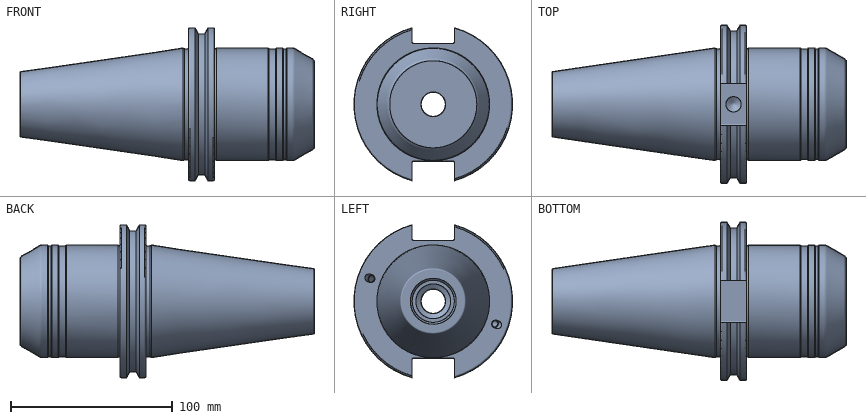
import cadquery as cq
import math

total_length = 182.6
taper_end_x = 101.0
neck_start_x = 102.0
flange_start_x = 104.5
flange_end_x = 120.7
flange_middle_x = (flange_start_x + flange_end_x) / 2
nose_start_x = 170.5

body_diameter = 70.0
neck_diameter = 68.8
relief_diameter = 69.2
flange_diameter = 98.5
taper_slope = 7 / 48
taper_edge_round = 0.7
flange_edge_radius = 1.1
neck_root_radius = 0.5

v_groove_diameter = 91.3
v_groove_floor_width = 4.0
v_groove_half_angle = 30

relief_width = 1.1
marking_groove_spans = [(154.0, 159.0), (162.9, 165.6)]
marking_groove_side = 0.5
nose_angle = 30
nose_edge_chamfer = 1.3
nose_corner_radius = 3.3

bore_diameter = 15.0
pilot_diameter = 21.5
socket_diameter = 26.1
socket_mouth_diameter = 28.5
socket_mouth_depth = 1.3
socket_depth = 5.5
pilot_depth = 45.6
drill_half_angle = 59

slot_width = 26.1
slot_corner_radius = 0.7
upper_slot_floor = 37.8
lower_slot_floor = -35.5

dimple_diameter = 9.5

coolant_circle_radius = 42.0
coolant_angle = 20
coolant_tilt = 35
coolant_mouth_diameter = 5.0
coolant_mouth_depth = 2.2
coolant_diameter = 4.2
coolant_depth = 14.6


def revolve_about_x(points):
    """Solid of revolution about the X axis from (x, radius) points."""
    return cq.Workplane("XY").polyline(points).close().revolve(360, (0, 0, 0), (1, 0, 0))


def shank():
    """Taper, flange and cylindrical body as one revolved solid."""
    body_r = body_diameter / 2
    neck_r = neck_diameter / 2
    relief_r = relief_diameter / 2
    flange_r = flange_diameter / 2
    small_end_r = body_r - taper_end_x * taper_slope
    relief_end_x = flange_end_x + relief_width
    nose_rim_x = total_length - nose_edge_chamfer
    nose_radians = math.radians(nose_angle)
    nose_corner_run = nose_corner_radius * math.sin(nose_radians)
    nose_top_r = body_r - nose_corner_radius * (1 - math.cos(nose_radians))
    nose_rim_r = nose_top_r - (nose_rim_x - nose_start_x) * math.tan(nose_radians)
    profile = (
        cq.Workplane("XY")
        .lineTo(0, small_end_r - taper_edge_round)
        .tangentArcPoint((taper_edge_round, small_end_r + taper_edge_round * taper_slope), relative=False)
        .lineTo(taper_end_x, body_r)
        .lineTo(neck_start_x, neck_r)
        .lineTo(flange_start_x - neck_root_radius, neck_r)
        .tangentArcPoint((flange_start_x, neck_r + neck_root_radius), relative=False)
        .lineTo(flange_start_x, flange_r - flange_edge_radius)
        .tangentArcPoint((flange_start_x + flange_edge_radius, flange_r), relative=False)
        .lineTo(flange_end_x - flange_edge_radius, flange_r)
        .tangentArcPoint((flange_end_x, flange_r - flange_edge_radius), relative=False)
        .lineTo(flange_end_x, relief_r)
        .lineTo(relief_end_x, relief_r)
        .lineTo(relief_end_x, body_r)
        .lineTo(nose_start_x - nose_corner_run, body_r)
        .tangentArcPoint((nose_start_x, nose_top_r), relative=False)
        .lineTo(nose_rim_x, nose_rim_r)
        .lineTo(total_length, nose_rim_r - nose_edge_chamfer)
        .lineTo(total_length, 0)
        .close()
    )
    return profile.revolve(360, (0, 0, 0), (1, 0, 0))


def ring_groove(start_x, end_x, top_radius, floor_radius, side_run):
    """Ring cutter with sloping sides, open at top_radius."""
    points = [
        (start_x, top_radius),
        (start_x + side_run, floor_radius),
        (end_x - side_run, floor_radius),
        (end_x, top_radius),
    ]
    return revolve_about_x(points)


def v_groove():
    top_r = flange_diameter / 2
    floor_r = v_groove_diameter / 2
    side_run = (top_r - floor_r) * math.tan(math.radians(v_groove_half_angle))
    half_width = v_groove_floor_width / 2 + side_run
    return ring_groove(flange_middle_x - half_width, flange_middle_x + half_width, top_r, floor_r, side_run)


def stepped_bore():
    socket_r = socket_diameter / 2
    pilot_r = pilot_diameter / 2
    bore_r = bore_diameter / 2
    drill_tip_run = (pilot_r - bore_r) / math.tan(math.radians(drill_half_angle))
    points = [
        (0, 0),
        (0, socket_mouth_diameter / 2),
        (socket_mouth_depth, socket_r),
        (socket_depth, socket_r),
        (socket_depth, pilot_r),
        (pilot_depth, pilot_r),
        (pilot_depth + drill_tip_run, bore_r),
        (total_length, bore_r),
        (total_length, 0),
    ]
    return revolve_about_x(points)


def drive_slot(floor_z, outward):
    """Slot along X through the flange with rounded floor corners; outward is +1 up or -1 down."""
    length = flange_end_x - flange_start_x
    height = flange_diameter / 2 - abs(floor_z)
    slot = cq.Workplane("XY").box(length, slot_width, height)
    floor_side = "<Z" if outward > 0 else ">Z"
    slot = slot.faces(floor_side).edges("|X").fillet(slot_corner_radius)
    return slot.translate((flange_middle_x, 0, floor_z + outward * height / 2))


def drilled_hole(diameter, depth, point, direction):
    """Cylinder with a conical drill tip, starting at point; a zero depth leaves only the tip."""
    radius = diameter / 2
    tip = radius / math.tan(math.radians(drill_half_angle))
    start = cq.Vector(point)
    axis = cq.Vector(direction)
    hole = cq.Workplane(cq.Solid.makeCone(radius, 0, tip, start + axis * depth, axis))
    if depth > 0:
        hole = hole.union(cq.Workplane(cq.Solid.makeCylinder(radius, depth, start, axis)))
    return hole


def coolant_hole(angle):
    """Stepped hole slanting inward from the flange face."""
    y_unit = math.cos(math.radians(angle))
    z_unit = math.sin(math.radians(angle))
    inward = math.sin(math.radians(coolant_tilt))
    axial = math.cos(math.radians(coolant_tilt))
    direction = cq.Vector(axial, -inward * y_unit, -inward * z_unit)
    mouth = cq.Vector(flange_start_x, coolant_circle_radius * y_unit, coolant_circle_radius * z_unit)
    start = mouth - direction * coolant_mouth_diameter
    wide_length = coolant_mouth_diameter + coolant_mouth_depth
    wide = cq.Solid.makeCylinder(coolant_mouth_diameter / 2, wide_length, start, direction)
    return drilled_hole(coolant_diameter, coolant_depth, mouth, direction).union(cq.Workplane(wide))


result = shank().cut(v_groove()).cut(stepped_bore())
for start_x, end_x in marking_groove_spans:
    groove = ring_groove(start_x, end_x, body_diameter / 2, neck_diameter / 2, marking_groove_side)
    result = result.cut(groove)
result = result.cut(drive_slot(upper_slot_floor, 1))
result = result.cut(drive_slot(lower_slot_floor, -1))
dimple_centre = (flange_middle_x, 0, upper_slot_floor)
result = result.cut(drilled_hole(dimple_diameter, 0, dimple_centre, (0, 0, -1)))
for angle in (coolant_angle, coolant_angle + 180):
    result = result.cut(coolant_hole(angle))